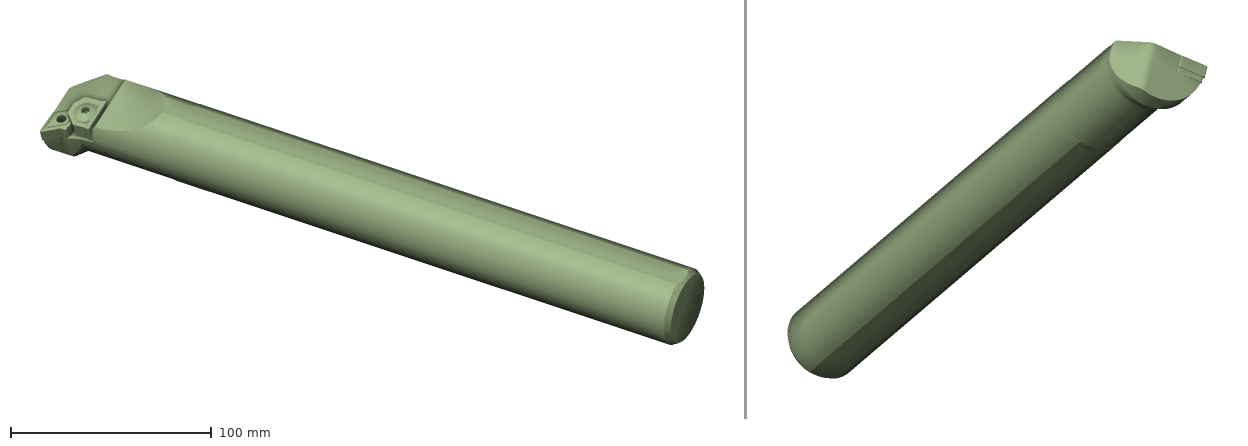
import cadquery as cq
import math


total_length = 350.0
shank_radius = 20.0
shank_top = 19.0
shank_bottom = -18.6
end_chamfer_length = 3.0
end_chamfer_depth = 2.0
neck_end = 70.0
neck_radius = 19.8

head_radius = 22.86
head_center_y = shank_radius - head_radius
head_length = 14.0
head_taper_end = 19.5

axial_rake = 6.0
radial_rake = 11.0
tip_y = -27.0
tip_z = 0.2

reach = 60.0

insert_angle = 55.0
inscribed_circle = 12.7
insert_thickness = 6.35
insert_side = inscribed_circle / math.sin(math.radians(insert_angle))
lead_angle = 3.0
nose_radius = 0.8
obtuse_radius = 2.0
land_width = 1.0
groove_width = 1.3
groove_depth = 0.4
insert_hole_radius = 2.58

shim_thickness = 3.18
shim_inset = 0.4
seat_depth = insert_thickness + shim_thickness

face_offset = 1.0
bevel_corner = 31.5
bevel_size = 30.0
bevel_blend_radius = 6.0
step_start = 24.9
step_height = 6.0

relief_bend = cq.Vector(7.7, 5.3)
relief_heel = (12.5, 5.0)
relief_end = (18.5, 6.8)
relief_length = 15.0

gullet_floor_z = 10.8
gullet_arc_start = 27.0
gullet_radius = 57.0
gullet_arc_angle = 50.0

clamp_left = 9.8
clamp_right = 25.8
clamp_front = 7.0
clamp_back = 25.8
clamp_height = 3.2
clamp_bottom = -4.5
clamp_back_bevel = 3.8
clamp_back_bevel_length = 5.5
clamp_front_bevel = 6.6
clamp_rib_start = 23.8
clamp_rib_front = 6.2
clamp_rib_height = 4.0
clamp_pocket_floor = -6.3
clamp_pocket_start = 12.5
screw_u = 19.2
screw_v = 16.0
screw_radius = 6.2
screw_edge = 0.3
screw_dome = 2.2
screw_shank_radius = 4.0
socket_radius = 2.4
socket_depth = 3.0

slope_x = math.tan(math.radians(axial_rake))
slope_y = math.tan(math.radians(radial_rake))
seat_normal = cq.Vector(-slope_x, -slope_y, 1).normalized()
seat_u = cq.Vector(0, 1, slope_y).cross(seat_normal)
seat_plane = cq.Plane(origin=(0, tip_y, tip_z), xDir=seat_u, normal=seat_normal)


def seat(height=0.0):
    """Workplane parallel to the seat, at a height above the insert's top face."""
    return cq.Workplane(seat_plane).workplane(offset=height)


def along_lead(distance, angle):
    """Vector of a length at an angle from the seat's V axis."""
    return cq.Vector(distance * math.sin(math.radians(angle)), distance * math.cos(math.radians(angle)))


half_angle = insert_angle / 2
bisector = lead_angle + half_angle
nose_center = cq.Vector(nose_radius, nose_radius)
sharp_tip = nose_center - along_lead(nose_radius / math.sin(math.radians(half_angle)), bisector)


def rhombus(inset, top, depth):
    """Sharp rhombus prism below a height, each side moved inward by the inset."""
    side = insert_side - 2 * inset / math.sin(math.radians(insert_angle))
    start = sharp_tip + along_lead(inset / math.sin(math.radians(half_angle)), bisector)
    lead = along_lead(side, lead_angle)
    trail = along_lead(side, lead_angle + insert_angle)
    corners = [start, start + lead, start + lead + trail, start + trail]
    return seat(top).polyline([(c.x, c.y) for c in corners]).close().extrude(-depth)


def rounded_rhombus(inset, top, depth):
    """Rhombus prism with small acute noses and larger obtuse corners."""
    prism = rhombus(inset, top, depth)
    edges = prism.edges(cq.selectors.ParallelDirSelector(seat_normal)).vals()
    middle = prism.val().Center()
    edges.sort(key=lambda edge: edge.Center().sub(middle).Length)
    rounded = prism.newObject(edges[:2]).fillet(obtuse_radius)
    return rounded.newObject(edges[2:]).fillet(nose_radius)


def make_insert():
    """Insert with a chip-breaker groove and a central hole."""
    blank = rounded_rhombus(0, 0, insert_thickness)
    groove = rhombus(land_width, 0, groove_depth)
    groove = groove.cut(rhombus(land_width + groove_width, 0, groove_depth))
    center = sharp_tip + along_lead(insert_side / 2, lead_angle)
    center += along_lead(insert_side / 2, lead_angle + insert_angle)
    hole = seat().center(center.x, center.y).circle(insert_hole_radius).extrude(-insert_thickness)
    return blank.cut(groove).cut(hole)


def make_bar():
    """Flatted shank, neck and enlarged head, before the seat is cut."""
    shank_length = total_length - neck_end
    shank = cq.Workplane("YZ").workplane(offset=neck_end).circle(shank_radius).extrude(shank_length)
    shank = shank.faces(">X").chamfer(end_chamfer_length, end_chamfer_depth)
    above = cq.Workplane("XY").workplane(offset=shank_top).rect(3 * total_length, reach).extrude(reach)
    below = cq.Workplane("XY").workplane(offset=shank_bottom).rect(3 * total_length, reach).extrude(-reach)
    neck = cq.Workplane("YZ").circle(neck_radius).extrude(neck_end)
    head = cq.Workplane("YZ").center(head_center_y, 0).circle(head_radius).extrude(head_length)
    taper = (
        cq.Workplane("YZ", origin=(head_length, 0, 0))
        .center(head_center_y, 0)
        .circle(head_radius)
        .workplane(offset=head_taper_end - head_length)
        .center(-head_center_y, 0)
        .circle(neck_radius)
        .loft(ruled=True)
    )
    return neck.union(head).union(taper).union(shank.cut(below)).cut(above)


def gullet_cutter():
    """Tilted flat that runs out into a rising arc."""
    tilt = math.radians(radial_rake)
    plane = cq.Plane(
        origin=(0, 0, gullet_floor_z),
        xDir=(1, 0, 0),
        normal=(0, -math.cos(tilt), -math.sin(tilt)),
    )
    half = math.radians(gullet_arc_angle / 2)
    full = math.radians(gullet_arc_angle)

    def arc_point(angle):
        return (
            gullet_arc_start + gullet_radius * math.sin(angle),
            gullet_radius * (1 - math.cos(angle)),
        )

    end = arc_point(full)
    return (
        cq.Workplane(plane)
        .moveTo(-reach, 0)
        .lineTo(gullet_arc_start, 0)
        .threePointArc(arc_point(half), end)
        .lineTo(end[0], reach)
        .lineTo(-reach, reach)
        .close()
        .extrude(reach, both=True)
    )


def head_top_cutter():
    """Space above the seat plane, up to a 45 degree step."""
    plane = cq.Plane(
        origin=seat_plane.origin, xDir=seat_plane.xDir, normal=-seat_plane.yDir
    )
    return (
        cq.Workplane(plane)
        .polyline([
            (-reach, 0),
            (step_start, 0),
            (step_start + step_height, step_height),
            (step_start + step_height, reach),
            (-reach, reach),
        ])
        .close()
        .extrude(2 * reach, both=True)
    )


def front_trimmer():
    """Solid bounded by the end face and the 45 degree bevel, blended together."""
    return (
        seat(-total_length)
        .polyline([
            (face_offset, -reach),
            (face_offset, bevel_corner),
            (face_offset + bevel_size, bevel_corner + bevel_size),
            (2 * total_length, bevel_corner + bevel_size),
            (2 * total_length, -reach),
        ])
        .close()
        .extrude(2 * total_length)
        .edges(cq.selectors.NearestToPointSelector(
            seat_plane.toWorldCoords((face_offset, bevel_corner, 0)).toTuple()))
        .fillet(bevel_blend_radius)
    )


def side_relief_cutter():
    """Clearance under the trailing cutting edge, down the side of the head."""
    start = relief_bend - along_lead(relief_length, lead_angle + insert_angle)
    return (
        seat(reach)
        .polyline([
            (start.x, start.y),
            (relief_bend.x, relief_bend.y),
            relief_heel,
            relief_end,
            (relief_end[0], -reach),
            (start.x, -reach),
        ])
        .close()
        .extrude(-2 * reach)
    )


def clamp_pocket_cutter():
    """Open-sided pocket that holds the clamp."""
    return (
        seat(clamp_pocket_floor)
        .moveTo(clamp_pocket_start, -reach)
        .lineTo(clamp_right, -reach)
        .lineTo(clamp_right, clamp_back)
        .lineTo(clamp_pocket_start, clamp_back)
        .close()
        .extrude(reach)
    )


def make_clamp():
    """Bevelled block with a raised rib along its +X end."""
    block = (
        seat(clamp_bottom)
        .polyline([
            (clamp_left + clamp_front_bevel, clamp_front),
            (clamp_right, clamp_front),
            (clamp_right, clamp_back),
            (clamp_left + clamp_back_bevel, clamp_back),
            (clamp_left, clamp_back - clamp_back_bevel_length),
            (clamp_left, clamp_front + clamp_front_bevel),
        ])
        .close()
        .extrude(clamp_height - clamp_bottom)
    )
    rib = (
        seat(clamp_bottom)
        .moveTo(clamp_rib_start, clamp_rib_front)
        .lineTo(clamp_right, clamp_rib_front)
        .lineTo(clamp_right, clamp_back)
        .lineTo(clamp_rib_start, clamp_back)
        .close()
        .extrude(clamp_rib_height - clamp_bottom)
    )
    return block.union(rib)


def make_screw():
    """Domed screw, and the hexagonal socket to cut from it."""
    dome_radius = (screw_radius**2 + screw_dome**2) / (2 * screw_dome)
    dome_top = clamp_height + screw_edge + screw_dome

    def on_axis(height):
        return seat(height).center(screw_u, screw_v)

    ball = on_axis(dome_top - dome_radius).sphere(dome_radius)
    head = on_axis(clamp_height).circle(screw_radius).extrude(dome_top - clamp_height)
    shank = on_axis(-seat_depth).circle(screw_shank_radius).extrude(seat_depth + clamp_height)
    socket = on_axis(dome_top).polygon(6, 2 * socket_radius).extrude(-socket_depth)
    return head.intersect(ball).union(shank), socket


def make_holder():
    bar = make_bar().cut(gullet_cutter()).cut(head_top_cutter()).intersect(front_trimmer())
    bar = bar.cut(side_relief_cutter()).cut(clamp_pocket_cutter()).cut(rhombus(0, 0, seat_depth))
    shim = rounded_rhombus(shim_inset, -insert_thickness, shim_thickness)
    screw, socket = make_screw()
    clamp = make_clamp().cut(rhombus(0, 0, seat_depth))
    return bar.union(shim).union(clamp).union(screw).cut(socket)


holder = make_holder()
insert = make_insert()
result = cq.Compound.makeCompound([holder.solids().val(), insert.solids().val()])